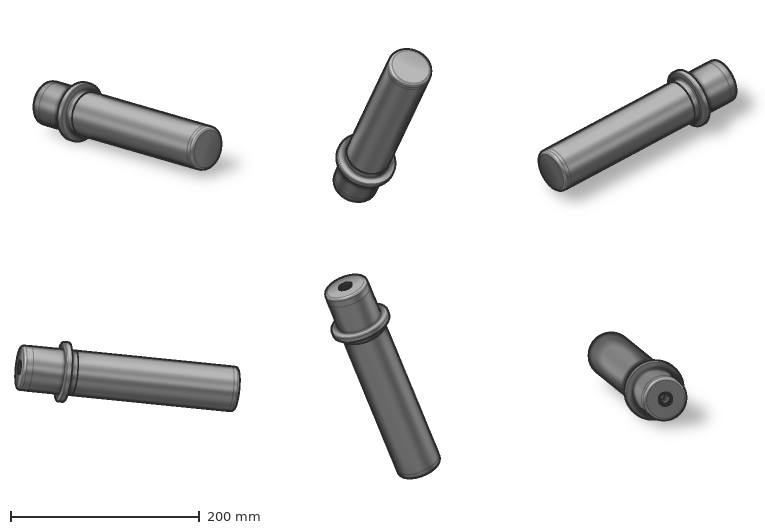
import cadquery as cq

length = 235.0
body_radius = 24.0

lead_drop = 0.2
front_lead = 9.9
rear_lead = 7.3
front_round = 3.0
rear_round = 3.5

neck_step = 0.12
neck_radius = body_radius - neck_step
neck_end = 58.8

collar_radius = 32.0
collar_start = 44.5
collar_width = 6.5
collar_edge_round = 1.0
front_root_round = 0.7
rear_root_round = 1.2

recess_radius = 7.0
recess_depth = 3.0
recess_chamfer = 0.5
hole_radius = 5.5
hole_depth = 23.5
drill_tip_depth = 3.0

front = -length / 2
collar_front = front + collar_start
collar_rear = collar_front + collar_width


def cylinder(start, width, radius):
    """Cylinder along X beginning at the given X position."""
    return cq.Workplane("YZ", origin=(start, 0, 0)).circle(radius).extrude(width)


def make_pillar():
    """Round pillar with a collar, tapered and rounded ends and filleted collar roots."""
    lead_radius = body_radius - lead_drop
    pillar = (
        cq.Workplane("XY", origin=(front, 0, 0))
        .lineTo(0, lead_radius)
        .lineTo(front_lead, body_radius)
        .lineTo(collar_start, body_radius)
        .lineTo(collar_start, neck_radius)
        .lineTo(neck_end, neck_radius)
        .lineTo(neck_end, body_radius)
        .lineTo(length - rear_lead, body_radius)
        .lineTo(length, lead_radius)
        .lineTo(length, 0)
        .close()
        .revolve(360, (0, 0, 0), (1, 0, 0))
    )
    pillar = pillar.faces("<X").edges().fillet(front_round)
    pillar = pillar.faces(">X").edges().fillet(rear_round)
    collar = cylinder(collar_front, collar_width, collar_radius).edges("%CIRCLE").fillet(collar_edge_round)
    pillar = pillar.union(collar)
    pillar = fillet_root(pillar, collar_front, front_root_round)
    return fillet_root(pillar, collar_rear, rear_root_round)


def fillet_root(pillar, position, radius):
    """Fillet the circle where the pillar meets a collar face."""
    margin = 0.12
    reach = body_radius + margin
    root = cq.selectors.BoxSelector(
        (position - margin, -reach, -reach),
        (position + margin, reach, reach),
        boundingbox=True,
    )
    return pillar.edges(root).fillet(radius)


def make_centre_hole():
    """Blind hole with a chamfered flat-floored recess and a conical drill tip."""
    return (
        cq.Workplane("XY", origin=(front, 0, 0))
        .lineTo(0, recess_radius + recess_chamfer)
        .lineTo(recess_chamfer, recess_radius)
        .lineTo(recess_depth, recess_radius)
        .lineTo(recess_depth, hole_radius)
        .lineTo(hole_depth, hole_radius)
        .lineTo(hole_depth + drill_tip_depth, 0)
        .close()
        .revolve(360, (0, 0, 0), (1, 0, 0))
    )


result = make_pillar().cut(make_centre_hole())